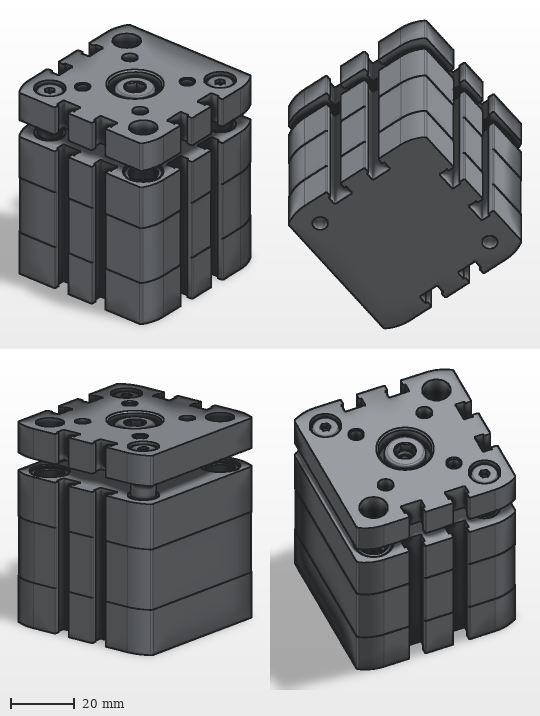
import cadquery as cq
import math

total_height = 66.1
side = 54.5
housing_height = 50.05
plate_thickness = 10.0
plate_bottom = total_height - plate_thickness

side_arc_radius = 15.0
arc_start_height = 19.05
corner_fillet = 1.0

slot_offset = 7.55
slot_mouth_width = 5.4
slot_inner_width = 6.95
slot_lip = 2.2
slot_depth = 5.3
slot_fillet = 0.3

middle_bottom = 15.0
middle_top = 35.0
middle_inset = 0.1

corner_offset = 19.05
guide_rod_diameter = 8.0
guide_recess_diameter = 10.0
guide_recess_depth = 0.2

rod_diameter = 12.0
rod_flat_distance = 10.0
rod_flat_bottom = 51.5
rod_flat_slope = 30.0

mount_recess_diameter = 11.9
mount_recess_chamfer = 0.45
mount_recess_depth = 0.65
mount_bore_diameter = 8.5
mount_bore_chamfer = 0.45
mount_bore_depth = 4.6
mount_hole_diameter = 4.9
mount_hole_chamfer = 0.45

access_hole_diameter = 9.0
small_hole_offset = 11.7
dowel_hole_diameter = 5.0
thread_diameter = 4.15
thread_chamfer = 0.4
center_bore_diameter = 17.0
center_bore_chamfer = 0.6
center_bore_depth = 5.3

guide_bore_diameter = 10.0
guide_bore_depth = 3.95
guide_head_diameter = 8.6
guide_head_recess = 0.7
guide_head_fillet = 0.45
guide_socket_width = 3.0
guide_socket_turn = 15.0
guide_socket_depth = 2.25
center_head_diameter = 13.0
center_head_recess = 0.9
center_head_fillet = 0.8
center_socket_width = 6.0
center_socket_depth = 3.3
center_drill_diameter = 4.0
center_drill_depth = 0.65
drill_tip_angle = 118.0

rod_bottom = middle_top

GUIDE_POINTS = [(corner_offset, corner_offset), (-corner_offset, -corner_offset)]
MOUNT_POINTS = [(-corner_offset, corner_offset), (corner_offset, -corner_offset)]
THREAD_POINTS = [(small_hole_offset, small_hole_offset), (-small_hole_offset, -small_hole_offset)]
DOWEL_POINTS = [(-small_hole_offset, small_hole_offset), (small_hole_offset, -small_hole_offset)]


def cylinder(diameter, bottom, top, points=((0, 0),)):
    """Upright cylinders of one diameter at the given points."""
    return (
        cq.Workplane("XY").workplane(offset=bottom)
        .pushPoints(points).circle(diameter / 2).extrude(top - bottom)
    )


def cone(bottom_diameter, top_diameter, bottom, top, points=((0, 0),)):
    """Upright truncated cones at the given points."""
    solid = cq.Solid.makeCone(bottom_diameter / 2, top_diameter / 2, top - bottom)
    return cq.Workplane("XY").pushPoints(points).eachpoint(
        lambda place: solid.moved(cq.Location((0, 0, bottom))).moved(place)
    )


def hexagon(width, turn, bottom, top, points=((0, 0),)):
    """Upright hexagonal prisms, width measured across the flats."""
    across_corners = width / math.cos(math.pi / 6)
    prism = (
        cq.Workplane("XY").workplane(offset=bottom)
        .polygon(6, across_corners).extrude(top - bottom)
        .rotate((0, 0, 0), (0, 0, 1), turn).val()
    )
    return cq.Workplane("XY").pushPoints(points).eachpoint(lambda place: prism.moved(place))


def upright_edge(body, x, y):
    """Select the vertical edge that stands at (x, y)."""
    reach = 0.05
    corner_box = cq.selectors.BoxSelector(
        (x - reach, y - reach, 0), (x + reach, y + reach, total_height)
    )
    return body.edges("|Z").edges(corner_box)


def slot_cutter(center, bottom, top):
    """T-slot in the -Y side with rounded lips and floor corners."""
    mouth = slot_mouth_width / 2
    inner = slot_inner_width / 2
    outside = -side
    lip_y = -side / 2 + slot_lip
    floor_y = -side / 2 + slot_depth
    cutter = (
        cq.Workplane("XY").workplane(offset=bottom)
        .polyline([
            (center - mouth, outside), (center + mouth, outside),
            (center + mouth, lip_y), (center + inner, lip_y),
            (center + inner, floor_y), (center - inner, floor_y),
            (center - inner, lip_y), (center - mouth, lip_y),
        ]).close().extrude(top - bottom)
    )
    for direction in (-1, 1):
        cutter = upright_edge(cutter, center + direction * mouth, lip_y).fillet(slot_fillet)
        cutter = upright_edge(cutter, center + direction * inner, floor_y).fillet(slot_fillet)
    return cutter


def cut_slots(body, bottom, top):
    """T-slot pairs in the -X, -Y and +X sides."""
    for center in (-slot_offset, slot_offset):
        cutter = slot_cutter(center, bottom, top)
        for turn in (-90, 0, 90):
            body = body.cut(cutter.rotate((0, 0, 0), (0, 0, 1), turn))
    return body


def section(bottom, top, inset=0.0):
    """Length of slotted profile; inset pulls the outer faces inward."""
    half = side / 2 - inset
    radius = side_arc_radius - inset
    rise = side / 2 - inset - arc_start_height

    def arc_x(height):
        return half - radius + math.sqrt(radius**2 - height**2)

    corner_x = arc_x(rise)
    middle_x = arc_x(rise / 2)
    middle_y = arc_start_height + rise / 2
    body = (
        cq.Workplane("XY").workplane(offset=bottom)
        .moveTo(half, -arc_start_height).lineTo(half, arc_start_height)
        .threePointArc((middle_x, middle_y), (corner_x, half))
        .lineTo(-corner_x, half)
        .threePointArc((-middle_x, middle_y), (-half, arc_start_height))
        .lineTo(-half, -arc_start_height)
        .threePointArc((-middle_x, -middle_y), (-corner_x, -half))
        .lineTo(corner_x, -half)
        .threePointArc((middle_x, -middle_y), (half, -arc_start_height))
        .close().extrude(top - bottom)
    )
    for x in (-corner_x, corner_x):
        for y in (-half, half):
            body = upright_edge(body, x, y).fillet(corner_fillet)
    body = cut_slots(body, bottom, top)
    return round_slot_lips(body, half)


def round_slot_lips(body, half):
    """Round the outer edges where each slot mouth meets a side."""
    for center in (-slot_offset, slot_offset):
        for edge in (center - slot_mouth_width / 2, center + slot_mouth_width / 2):
            for x, y in ((-half, edge), (half, edge), (edge, -half)):
                body = upright_edge(body, x, y).fillet(slot_fillet)
    return body


def plate():
    top = total_height
    body = section(plate_bottom, top)
    body = body.cut(cylinder(access_hole_diameter, plate_bottom, top, MOUNT_POINTS))
    body = body.cut(cylinder(dowel_hole_diameter, plate_bottom, top, DOWEL_POINTS))
    body = body.cut(cylinder(thread_diameter, plate_bottom, top, THREAD_POINTS))
    thread_mouth = thread_diameter + 2 * thread_chamfer
    body = body.cut(cone(thread_diameter, thread_mouth, top - thread_chamfer, top, THREAD_POINTS))
    body = body.cut(cylinder(guide_bore_diameter, top - guide_bore_depth, top, GUIDE_POINTS))
    body = body.cut(cylinder(center_bore_diameter, top - center_bore_depth, top))
    center_mouth = center_bore_diameter + 2 * center_bore_chamfer
    return body.cut(cone(center_bore_diameter, center_mouth, top - center_bore_chamfer, top))


def guide_screw_heads():
    top = total_height - guide_head_recess
    heads = cylinder(guide_head_diameter, total_height - guide_bore_depth, top, GUIDE_POINTS)
    heads = heads.faces(">Z").edges().fillet(guide_head_fillet)
    return heads.cut(
        hexagon(guide_socket_width, guide_socket_turn, top - guide_socket_depth, top, GUIDE_POINTS)
    )


def center_screw_head():
    top = total_height - center_head_recess
    head = cylinder(center_head_diameter, total_height - center_bore_depth, top)
    return head.faces(">Z").edges().fillet(center_head_fillet)


def cut_center_socket(body):
    """Hexagon socket with a countersunk mouth and a drilled, conical floor."""
    top = total_height - center_head_recess
    across_corners = center_socket_width / math.cos(math.pi / 6)
    countersink_depth = (across_corners - center_socket_width) / 2
    socket_floor = top - center_socket_depth
    tip_slope = math.tan(math.radians(drill_tip_angle / 2))
    drill_top = socket_floor - (center_socket_width - center_drill_diameter) / 2 / tip_slope
    drill_bottom = drill_top - center_drill_depth
    drill_tip = drill_bottom - center_drill_diameter / 2 / tip_slope

    body = body.cut(hexagon(center_socket_width, 0, socket_floor, top))
    body = body.cut(cone(center_socket_width, across_corners, top - countersink_depth, top))
    body = body.cut(cone(center_drill_diameter, center_socket_width, drill_top, socket_floor))
    body = body.cut(cylinder(center_drill_diameter, drill_bottom, drill_top))
    return body.cut(cone(0, center_drill_diameter, drill_tip, drill_bottom))


def piston_rod():
    rod = cylinder(rod_diameter, rod_bottom, plate_bottom)
    flat = rod_flat_distance / 2
    outside = rod_diameter
    drop = (outside - flat) * math.tan(math.radians(rod_flat_slope))
    flat_cutter = (
        cq.Workplane("YZ")
        .polyline([
            (flat, plate_bottom), (flat, rod_flat_bottom),
            (outside, rod_flat_bottom - drop), (outside, plate_bottom),
        ]).close().extrude(rod_diameter, both=True)
    )
    return rod.cut(flat_cutter).cut(flat_cutter.mirror("XZ"))


def moving_assembly():
    body = plate()
    body = body.union(guide_screw_heads())
    body = body.union(cylinder(guide_rod_diameter, rod_bottom, plate_bottom, GUIDE_POINTS))
    body = body.union(piston_rod())
    body = body.union(center_screw_head())
    return cut_center_socket(body)


def cut_mounting_holes(body):
    """Stepped through holes, each step with a bevelled mouth."""
    top = housing_height
    recess_floor = top - mount_recess_depth
    bore_floor = recess_floor - mount_bore_depth
    steps = [
        (mount_recess_diameter, mount_recess_chamfer, recess_floor, top),
        (mount_bore_diameter, mount_bore_chamfer, bore_floor, recess_floor),
        (mount_hole_diameter, mount_hole_chamfer, 0, bore_floor),
    ]
    for diameter, chamfer, step_bottom, step_top in steps:
        mouth = diameter + 2 * chamfer
        body = body.cut(cylinder(diameter, step_bottom, step_top, MOUNT_POINTS))
        body = body.cut(cone(diameter, mouth, step_top - chamfer, step_top, MOUNT_POINTS))
    return body


def housing():
    top = housing_height
    body = section(0, middle_bottom)
    body = body.union(section(middle_bottom, middle_top, middle_inset))
    body = body.union(section(middle_top, top))
    body = body.cut(cylinder(guide_rod_diameter, rod_bottom, top, GUIDE_POINTS))
    body = body.cut(cylinder(guide_recess_diameter, top - guide_recess_depth, top, GUIDE_POINTS))
    body = body.cut(cylinder(rod_diameter, rod_bottom, top))
    return cut_mounting_holes(body)


housing_body = housing().solids()
moving_body = moving_assembly().solids()
result = cq.Compound.makeCompound([housing_body.val(), moving_body.val()])